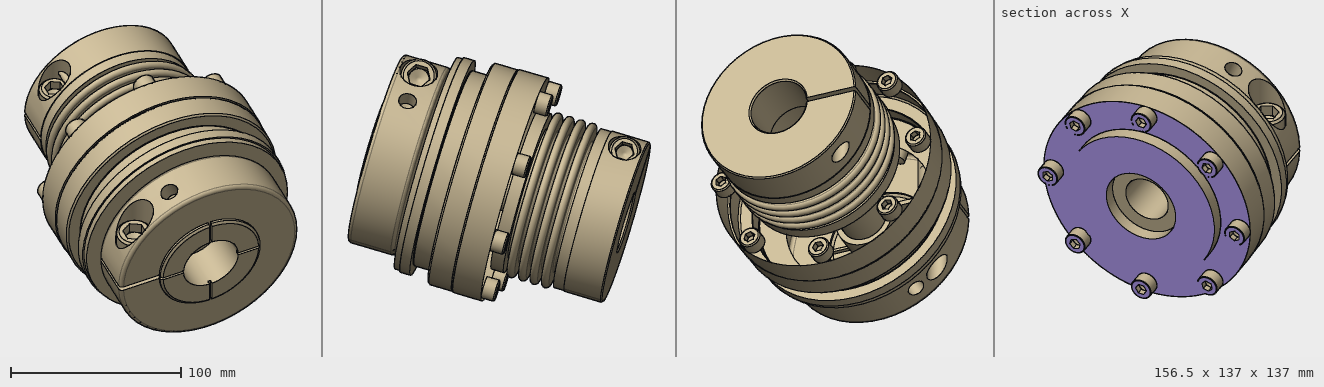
import cadquery as cq
import math


total_length = 156.5
clamp_end = 23.3
front_hub_end = 29.9
bellows_end = 60.7
flange_start = 68.4
flange_end = 85.9
ring_start = 86.9
ring_end = 101.5
neck_start = 102.2
neck_end = 112.4
disc_start = 113.0
disc_step = 119.3
rear_hub_start = 122.9
rear_hub_end = 154.0

front_hub_dia = 98.5
collar_dia = 97.7
flange_dia = 137.0
ring_dia = 136.0
neck_dia = 119.9
disc_dia = 132.0
disc_lip_dia = 130.0
rear_hub_dia = 115.2
boss_dia = 64.8
front_hub_chamfer = 0.8
ring_chamfer = 1.1
groove_depth = 0.8
neck_relief = 0.5

wave_count = 4
wave_pitch = 7.0
first_wave_x = 35.0
wave_width = 4.7
crest_dia = 101.0
root_dia = 79.0
root_fillet = 1.0

rear_cone_start_dia = 93.6
rear_cone_length = 2.7
rear_hub_fillet = 2.2
boss_chamfer_length = 1.1
boss_chamfer_depth = 1.5
boss_slot_width = 1.5

shaft_bore_dia = 35.4
bore_chamfer = 1.0
cavity_dia = 45.7
cavity_start = front_hub_end
web_bore_dia = 28.2
rear_bore_start = 130.0

screw_count = 8
screw_head_dia = 13.0
screw_head_height = 8.1
screw_socket = 6.0
screw_head_chamfer = 0.8
screw_circle_radius = (flange_dia - screw_head_dia) / 2

clamp_slot_width = 2.8
clamp_head_chamfer = 1.4
clamp_screw_reach = 0.2
front_clamp_x = 11.7
front_clamp_offset = 34.9
front_head_top = 26.0
rear_clamp_x = 140.5
rear_clamp_offset = 42.1
rear_head_top = 30.0

pin_dia = 5.0
pin_length = 18.2
pin_y = -26.5
pin_z = 29.0

upper_hole_dia = 10.5
upper_hole_angle = 110.0
lower_hole_dia = 10.2
lower_hole_angle = 240.0
radial_hole_bottom = 47.0

overlap = 1.5
drill_tip_ratio = math.tan(math.radians(31))


def revolve_about_x(profile):
    return profile.close().revolve(360, (0, 0, 0), (1, 0, 0))


def cylinder_x(diameter, start, end):
    return cq.Workplane("YZ", origin=(start, 0, 0)).circle(diameter / 2).extrude(end - start)


def drill(diameter, depth):
    """Pointed drill going down from Z = 0, full width to the given depth."""
    radius = diameter / 2
    tip = depth + radius * drill_tip_ratio
    profile = cq.Workplane("XZ").polyline([(0, 0), (radius, 0), (radius, -depth), (0, -tip)])
    return profile.close().revolve(360, (0, 0, 0), (0, 1, 0))


def socket_screw_head(diameter, height, socket, chamfer):
    """Screw head with its top at Z = 0 and a hexagon socket with a conical bottom."""
    head = cq.Workplane("XY").circle(diameter / 2).extrude(-height)
    head = head.faces(">Z").edges().chamfer(chamfer)
    socket_depth = height / 2
    hexagon = cq.Workplane("XY").polygon(6, socket / math.cos(math.pi / 6)).extrude(-socket_depth)
    return head.cut(hexagon).cut(drill(socket, socket_depth))


def stepped_body():
    hub_radius = front_hub_dia / 2
    ring_radius = ring_dia / 2
    groove_radius = ring_radius - groove_depth
    relief_radius = neck_dia / 2 - neck_relief
    return revolve_about_x(cq.Workplane("XY").polyline([
        (0, 0),
        (0, hub_radius - front_hub_chamfer),
        (front_hub_chamfer, hub_radius),
        (clamp_end, hub_radius),
        (clamp_end, collar_dia / 2),
        (front_hub_end, collar_dia / 2),
        (front_hub_end, root_dia / 2),
        (bellows_end, root_dia / 2),
        (bellows_end, collar_dia / 2),
        (flange_start, collar_dia / 2),
        (flange_start, flange_dia / 2),
        (flange_end, flange_dia / 2),
        (flange_end, groove_radius),
        (ring_start, groove_radius),
        (ring_start, ring_radius),
        (ring_end - ring_chamfer, ring_radius),
        (ring_end, ring_radius - ring_chamfer),
        (ring_end, relief_radius),
        (neck_start, relief_radius),
        (neck_start, neck_dia / 2),
        (neck_end, neck_dia / 2),
        (neck_end, relief_radius),
        (disc_start, relief_radius),
        (disc_start, disc_dia / 2),
        (disc_step, disc_dia / 2),
        (disc_step, disc_lip_dia / 2),
        (rear_hub_start, disc_lip_dia / 2),
        (rear_hub_start, 0),
    ]))


def bellows_wave(x):
    """One rounded wave, blended into the bellows root on both sides."""
    half = wave_width / 2
    root = root_dia / 2
    crest = crest_dia / 2
    base = root - overlap
    foot = half + root_fillet
    blend = root_fillet * (1 - math.sqrt(0.5))
    return revolve_about_x(
        cq.Workplane("XY", origin=(x, 0, 0))
        .moveTo(-foot, base)
        .lineTo(-foot, root)
        .threePointArc((-half - blend, root + blend), (-half, root + root_fillet))
        .lineTo(-half, crest - half)
        .threePointArc((0, crest), (half, crest - half))
        .lineTo(half, root + root_fillet)
        .threePointArc((half + blend, root + blend), (foot, root))
        .lineTo(foot, base)
    )


def rear_hub():
    hub = revolve_about_x(cq.Workplane("XY").polyline([
        (rear_hub_start, 0),
        (rear_hub_start, rear_cone_start_dia / 2),
        (rear_hub_start + rear_cone_length, rear_hub_dia / 2),
        (rear_hub_end, rear_hub_dia / 2),
        (rear_hub_end, 0),
    ]))
    return hub.faces("%CYLINDER").edges("%CIRCLE").fillet(rear_hub_fillet)


def rear_boss():
    """End boss, chamfered at its rim and split into quarters by two crossed slots."""
    radius = boss_dia / 2
    boss = revolve_about_x(cq.Workplane("XY").polyline([
        (rear_hub_end, 0),
        (rear_hub_end, radius),
        (total_length - boss_chamfer_length, radius),
        (total_length, radius - boss_chamfer_depth),
        (total_length, 0),
    ]))
    height = total_length - rear_hub_end
    slots = cq.Workplane("YZ", origin=(rear_hub_end, 0, 0))
    boss = boss.cut(slots.rect(boss_dia, boss_slot_width).extrude(height))
    return boss.cut(slots.rect(boss_slot_width, boss_dia).extrude(height))


def bores():
    mouth = revolve_about_x(cq.Workplane("XY").polyline([
        (0, 0),
        (0, shaft_bore_dia / 2 + bore_chamfer),
        (bore_chamfer, shaft_bore_dia / 2),
        (cavity_start, shaft_bore_dia / 2),
        (cavity_start, 0),
    ]))
    cavity = cylinder_x(cavity_dia, cavity_start, flange_start)
    web_bore = cylinder_x(web_bore_dia, flange_start, rear_bore_start)
    rear_bore = cylinder_x(shaft_bore_dia, rear_bore_start, total_length)
    return mouth.union(cavity).union(web_bore).union(rear_bore)


def add_flange_screws(body):
    head = socket_screw_head(screw_head_dia, screw_head_height, screw_socket, screw_head_chamfer)
    head = head.rotate((0, 0, 0), (0, 0, 1), 90).rotate((0, 0, 0), (0, 1, 0), -90)
    head = head.translate((flange_start - screw_head_height, 0, screw_circle_radius))
    for index in range(screw_count):
        body = body.union(head.rotate((0, 0, 0), (1, 0, 0), index * 360 / screw_count))
    return body


def clamp_slot(start, end, outer_dia):
    """Slit from the axis out through the -Y side."""
    size = (end - start, outer_dia / 2, clamp_slot_width)
    slit = cq.Workplane("XY").box(*size, centered=(False, False, True))
    return slit.translate((start, -outer_dia / 2, 0))


def add_clamp_screw(body, x, offset, head_top, head_dia, head_height, recess_dia, shank_dia,
                    socket, exit_dia, hub_dia):
    """Screw in a deep recess above the slit, with an open thread below its tip."""
    screw_end = -clamp_screw_reach * hub_dia
    seat = head_top - head_height
    plane = cq.Workplane("XY", origin=(x, -offset, 0))
    recess = plane.workplane(offset=seat).circle(recess_dia / 2).extrude(hub_dia / 2)
    exit_hole = plane.workplane(offset=screw_end).circle(exit_dia / 2).extrude(-hub_dia / 2)
    shank = plane.workplane(offset=screw_end).circle(shank_dia / 2).extrude(seat - screw_end)
    head = socket_screw_head(head_dia, head_height, socket, clamp_head_chamfer)
    head = head.translate((x, -offset, head_top))
    return body.cut(recess).cut(exit_hole).union(shank).union(head)


def radial_hole(diameter, angle):
    rim = rear_hub_dia / 2 + overlap
    tool = drill(diameter, rim - radial_hole_bottom).translate((rear_clamp_x, 0, rim))
    return tool.rotate((0, 0, 0), (1, 0, 0), angle - 90)


body = stepped_body()
for wave in range(wave_count):
    body = body.union(bellows_wave(first_wave_x + wave * wave_pitch))
body = body.union(rear_hub()).union(rear_boss()).cut(bores())

body = body.cut(clamp_slot(0, clamp_end, front_hub_dia))
body = body.cut(clamp_slot(rear_hub_start, rear_hub_end, rear_hub_dia))
body = add_clamp_screw(
    body, front_clamp_x, front_clamp_offset, front_head_top, head_dia=18.0, head_height=12.0,
    recess_dia=19.1, shank_dia=12.0, socket=10.0, exit_dia=10.2, hub_dia=front_hub_dia)
body = add_clamp_screw(
    body, rear_clamp_x, rear_clamp_offset, rear_head_top, head_dia=21.0, head_height=14.0,
    recess_dia=22.2, shank_dia=14.1, socket=12.0, exit_dia=12.0, hub_dia=rear_hub_dia)

pin = cylinder_x(pin_dia, front_clamp_x - pin_length / 2, front_clamp_x + pin_length / 2)
body = body.union(pin.translate((0, pin_y, pin_z)))

body = body.cut(radial_hole(upper_hole_dia, upper_hole_angle))
body = body.cut(radial_hole(lower_hole_dia, lower_hole_angle))

result = add_flange_screws(body)